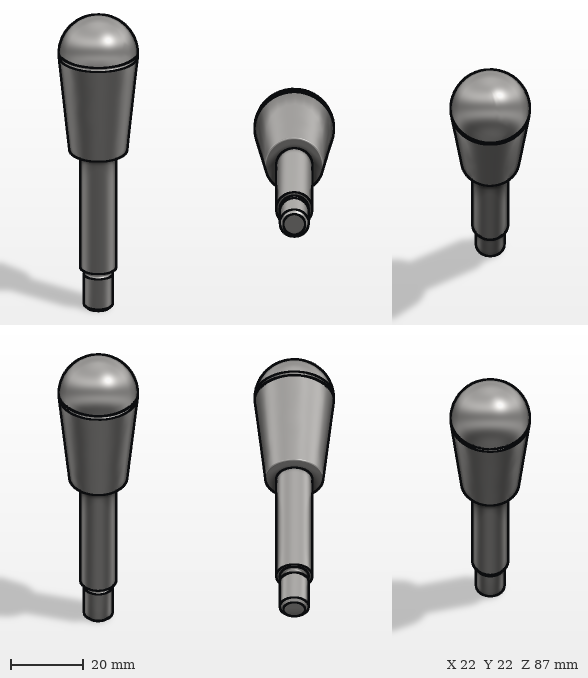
import cadquery as cq
import math

total_length = 87.0
grip_diameter = 22.0

grip_length = 40.0
grip_base_diameter = 16.0
grip_base_rounding = 0.5
grip_groove_radius = 0.6

shaft_diameter = 10.0
stud_diameter = 8.0
stud_length = 12.0
stud_tip_diameter = 6.0
stud_tip_height = 1.0

neck_diameter = 6.6
neck_length = 2.0

grip_radius = grip_diameter / 2
grip_base_radius = grip_base_diameter / 2
shaft_radius = shaft_diameter / 2
stud_radius = stud_diameter / 2
stud_tip_radius = stud_tip_diameter / 2
neck_radius = neck_diameter / 2
neck_bottom = stud_length - neck_length
grip_bottom = total_length - grip_length
dome_center = total_length - grip_radius


def make_stud():
    """Stud with a tapered tip and a rounded relief neck below the shaft."""
    return (
        cq.Workplane("XZ")
        .lineTo(stud_tip_radius, 0)
        .lineTo(stud_radius, stud_tip_height)
        .lineTo(stud_radius, neck_bottom)
        .threePointArc(
            (neck_radius, stud_length - neck_length / 2),
            (stud_radius, stud_length),
        )
        .lineTo(0, stud_length)
        .close()
        .revolve(360, (0, 0), (0, 1))
    )


def make_shaft():
    """Plain cylinder from the stud up to the grip."""
    return (
        cq.Workplane("XY", origin=(0, 0, stud_length))
        .circle(shaft_radius)
        .extrude(grip_bottom - stud_length)
    )


def make_grip():
    """Tapered handle, rounded at its base and closed by a hemisphere."""
    dome_mid = grip_radius * math.sqrt(0.5)
    body = (
        cq.Workplane("XZ", origin=(0, 0, grip_bottom))
        .lineTo(grip_base_radius, 0)
        .lineTo(grip_radius, dome_center - grip_bottom)
        .threePointArc(
            (dome_mid, dome_center - grip_bottom + dome_mid),
            (0, grip_length),
        )
        .close()
        .revolve(360, (0, 0), (0, 1))
        .faces("<Z")
        .edges()
        .fillet(grip_base_rounding)
    )
    groove = (
        cq.Workplane("XZ")
        .center(grip_radius, dome_center)
        .circle(grip_groove_radius)
        .revolve(360, (-grip_radius, 0), (-grip_radius, 1))
    )
    return body.cut(groove)


result = make_stud().union(make_shaft()).union(make_grip())